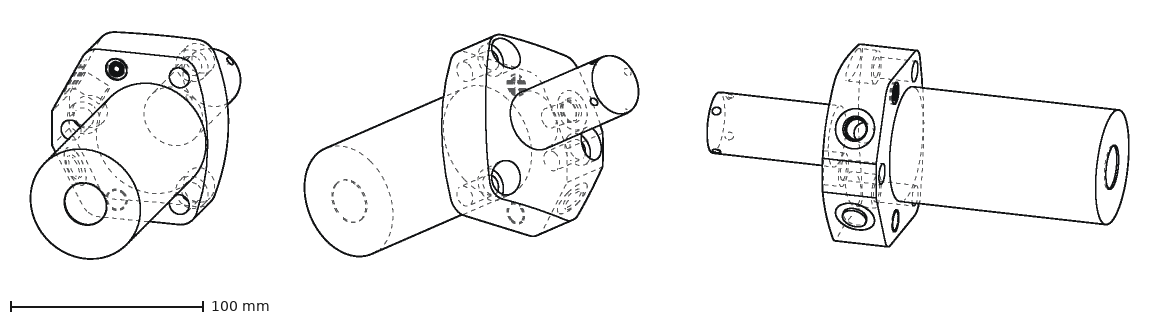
import cadquery as cq
import math

body_diameter = 60.0
body_length = 111.7
flange_thickness = 37.6
overall_length = 214.96
rod_diameter = 32.0
rod_end = overall_length - body_length
rod_chamfer_length = 1.0
rod_chamfer_width = 0.2

flange_left = -54.0
flange_right = 30.91
half_height = 45.82
left_flat_half = 9.4
slope_angle = 62.0
right_arc_radius = 125.0
corner_radius = 10.0

cone_top_radius = 23.0
cone_angle = 15.0

mount_hole_diameter = 10.8
counterbore_diameter = 17.5
counterbore_floor = 21.0
mount_points = [(-43.6, 0.0), (15.4, 34.7), (15.4, -34.7)]

end_recess_diameter = 23.0
end_recess_depth = 1.0

seat_port_x = -19.0
seat_port_z = 35.7
seat_port_diameter = 11.5
seat_ring_section = 1.9
seat_groove_floor = 1.7
seat_bore_diameters = [6.5, 5.2, 3.6]
seat_bore_step_depth = 0.4
seat_plug_diameter = 10.3
seat_groove_depth = 0.6

side_port_y = 13.9
side_port_z = 24.6
spotface_diameter = 21.0
spotface_depth = 0.1
side_bore_mouth_diameter = 13.0
side_bore_diameter = 11.6
side_bore_chamfer = 1.3
side_bore_step = 3.0
side_core_diameter = 10.6
side_bore_depth = 18.0
side_plug_diameter = 12.8
side_plug_height = 1.4

dimple_diameter = 4.6
dimple_depth = 2.2
dimple_setback = 3.8
dimple_angles = [45.0, 135.0, 225.0, 315.0]

Y_AXIS = cq.Vector(0, 1, 0)


def y_cylinder(diameter, start, end, x=0.0, z=0.0):
    """Cylinder parallel to Y, from Y = start to Y = end."""
    solid = cq.Solid.makeCylinder(diameter / 2, end - start, cq.Vector(x, start, z), Y_AXIS)
    return cq.Workplane(obj=solid)


def y_cone(start_diameter, end_diameter, start, end, x=0.0, z=0.0):
    """Truncated cone parallel to Y, from Y = start to Y = end."""
    solid = cq.Solid.makeCone(
        start_diameter / 2, end_diameter / 2, end - start, cq.Vector(x, start, z), Y_AXIS
    )
    return cq.Workplane(obj=solid)


def make_flange():
    slope_run = (half_height - left_flat_half) / math.tan(math.radians(slope_angle))
    slope_top_x = flange_left + slope_run
    arc_center_x = flange_right - right_arc_radius
    arc_end_x = arc_center_x + math.sqrt(right_arc_radius**2 - half_height**2)
    blank = (
        cq.Workplane("XZ")
        .moveTo(flange_left, left_flat_half)
        .lineTo(slope_top_x, half_height)
        .lineTo(arc_end_x, half_height)
        .threePointArc((flange_right, 0), (arc_end_x, -half_height))
        .lineTo(slope_top_x, -half_height)
        .lineTo(flange_left, -left_flat_half)
        .close()
        .extrude(-flange_thickness)
    )
    blank = blank.faces(">Z or <Z").edges("|Y").fillet(corner_radius)

    cone_base_radius = cone_top_radius + flange_thickness / math.tan(math.radians(cone_angle))
    envelope = y_cone(2 * cone_base_radius, 2 * cone_top_radius, 0, flange_thickness)
    return blank.intersect(envelope)


def make_rod():
    return y_cylinder(rod_diameter, flange_thickness, rod_end - rod_chamfer_length).union(
        y_cone(
            rod_diameter,
            rod_diameter - 2 * rod_chamfer_width,
            rod_end - rod_chamfer_length,
            rod_end,
        )
    )


def make_body():
    body = y_cylinder(body_diameter, -body_length, 0)
    return body.cut(y_cylinder(end_recess_diameter, -body_length, end_recess_depth - body_length))


def cut_mount_holes(part):
    for x, z in mount_points:
        part = part.cut(y_cylinder(mount_hole_diameter, 0, flange_thickness, x, z))
        part = part.cut(
            y_cylinder(counterbore_diameter, counterbore_floor, flange_thickness, x, z)
        )
    return part


def cut_open_seat_port(part):
    """Round recess holding a seal ring around a stepped centre, above the body."""
    x, z = seat_port_x, seat_port_z
    ring_diameter = seat_port_diameter - seat_ring_section
    ring_center = cq.Vector(x, seat_ring_section / 2, z)
    ring = cq.Solid.makeTorus(ring_diameter / 2, seat_ring_section / 2, ring_center, Y_AXIS)
    center = y_cylinder(ring_diameter - seat_ring_section, 0, seat_groove_floor, x, z)
    recess = y_cylinder(seat_port_diameter, 0, seat_groove_floor, x, z).cut(center)
    part = part.cut(recess.cut(cq.Workplane(obj=ring)))
    for level, diameter in enumerate(seat_bore_diameters, start=1):
        part = part.cut(y_cylinder(diameter, 0, level * seat_bore_step_depth, x, z))
    return part


def cut_plugged_seat_port(part):
    """Ring groove around a flush plug, below the body."""
    x, z = seat_port_x, -seat_port_z
    groove = y_cylinder(seat_port_diameter, 0, seat_groove_depth, x, z).cut(
        y_cylinder(seat_plug_diameter, 0, seat_groove_depth, x, z)
    )
    return part.cut(groove)


def side_plane(side):
    """Plane on a sloped side at the port centre; side is +1 above, -1 below."""
    slope = math.radians(slope_angle)
    x = flange_left + (side_port_z - left_flat_half) / math.tan(slope)
    return cq.Plane(
        origin=(x, side_port_y, side * side_port_z),
        xDir=(0, 1, 0),
        normal=(-math.sin(slope), 0, side * math.cos(slope)),
    )


def cut_spotface(part, side):
    spotface = cq.Workplane(side_plane(side)).circle(spotface_diameter / 2).extrude(-spotface_depth)
    return part.cut(spotface)


def cut_open_side_port(part):
    plane = side_plane(1)
    inward = plane.zDir * -1
    bore = cq.Workplane(plane).circle(side_bore_diameter / 2).extrude(-side_bore_step)
    core = cq.Workplane(plane).circle(side_core_diameter / 2).extrude(-side_bore_depth)
    mouth = cq.Solid.makeCone(
        side_bore_mouth_diameter / 2,
        side_bore_diameter / 2,
        side_bore_chamfer,
        plane.origin + inward * spotface_depth,
        inward,
    )
    return cut_spotface(part, 1).cut(bore).cut(core).cut(cq.Workplane(obj=mouth))


def add_plugged_side_port(part):
    plug = (
        cq.Workplane(side_plane(-1))
        .workplane(offset=-spotface_depth)
        .circle(side_plug_diameter / 2)
        .extrude(spotface_depth + side_plug_height)
    )
    return cut_spotface(part, -1).union(plug)


def cut_dimples(part):
    cone_radius = dimple_diameter
    cone_height = 2 * dimple_depth
    for angle in dimple_angles:
        outward = cq.Vector(math.cos(math.radians(angle)), 0, math.sin(math.radians(angle)))
        tip = outward * (rod_diameter / 2 - dimple_depth) + Y_AXIS * (rod_end - dimple_setback)
        dimple = cq.Solid.makeCone(0, cone_radius, cone_height, tip, outward)
        part = part.cut(cq.Workplane(obj=dimple))
    return part


part = cut_mount_holes(make_flange())
part = cut_open_seat_port(part)
part = cut_plugged_seat_port(part)
part = cut_open_side_port(part)
part = add_plugged_side_port(part)
part = part.union(make_body()).union(make_rod())
result = cut_dimples(part)